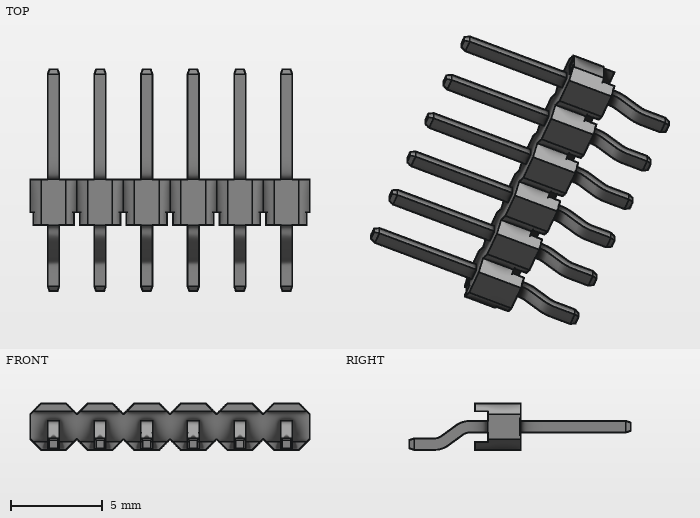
import cadquery as cq
import math

row_length = 15.24
pin_count = 6
pitch = row_length / pin_count

body_height = 2.55
body_depth = 2.5
corner_chamfer = 0.6
lip_thickness = 0.44
recess_depth = 0.7
notch_height = 0.91
notch_depth = 0.06
notch_width = 0.61

pin_size = 0.64
back_length = 6.0
front_length = 3.6
tip_length = 0.27
tip_inset = 0.099
bend_start = 0.27
bend_radius = 0.98
bend_angle = math.radians(36)

half_height = body_height / 2
half_pin = pin_size / 2
pin_centers = [(i - (pin_count - 1) / 2) * pitch for i in range(pin_count)]


def body_cell(x):
    """One octagonal insulator cell running through the body depth."""
    return (
        cq.Workplane("XZ")
        .center(x, 0)
        .rect(pitch, body_height)
        .extrude(-body_depth)
        .edges("|Y")
        .chamfer(corner_chamfer)
    )


def front_recess():
    """Channel along the front face that leaves a thin lip above and below."""
    channel_height = body_height - 2 * lip_thickness
    return cq.Workplane("XY").box(row_length, recess_depth, channel_height, centered=(True, False, True))


def end_notches():
    """Shallow notches in the back face, one open to each end of the row."""
    notch_centers = [(side * (row_length - notch_width) / 2, 0) for side in (-1, 1)]
    return (
        cq.Workplane("XZ", origin=(0, body_depth, 0))
        .pushPoints(notch_centers)
        .rect(notch_width, notch_height)
        .extrude(notch_depth)
    )


def pin_path(shaft_end, foot_end):
    """Centerline: straight shaft, downward bend, slope, reverse bend, flat foot."""
    foot_drop = half_height - half_pin
    bend_run = bend_radius * math.sin(bend_angle)
    bend_drop = bend_radius * (1 - math.cos(bend_angle))
    half_run = bend_radius * math.sin(bend_angle / 2)
    half_drop = bend_radius * (1 - math.cos(bend_angle / 2))
    slope_run = (foot_drop - 2 * bend_drop) / math.tan(bend_angle)

    slope_top_y = -bend_start - bend_run
    slope_bottom_y = slope_top_y - slope_run
    foot_start_y = slope_bottom_y - bend_run
    return (
        cq.Workplane("YZ")
        .moveTo(shaft_end, 0)
        .lineTo(-bend_start, 0)
        .threePointArc((-bend_start - half_run, -half_drop), (slope_top_y, -bend_drop))
        .lineTo(slope_bottom_y, bend_drop - foot_drop)
        .threePointArc((foot_start_y + half_run, half_drop - foot_drop), (foot_start_y, -foot_drop))
        .lineTo(foot_end, -foot_drop)
    )


def pin_tip(y, z, direction):
    """Tapered pin end that starts at y and points along direction (+1 or -1) in Y."""
    tip_size = pin_size - 2 * tip_inset
    return (
        cq.Workplane(cq.Plane(origin=(0, y, z), xDir=(1, 0, 0), normal=(0, direction, 0)))
        .rect(pin_size, pin_size)
        .workplane(offset=tip_length)
        .rect(tip_size, tip_size)
        .loft()
    )


def bent_pin():
    """Square pin centered on X = 0 with a tapered tip at each end."""
    shaft_end = body_depth + back_length - tip_length
    foot_end = tip_length - front_length
    foot_z = half_pin - half_height
    bar = (
        cq.Workplane("XZ", origin=(0, shaft_end, 0))
        .rect(pin_size, pin_size)
        .sweep(pin_path(shaft_end, foot_end))
    )
    return bar.union(pin_tip(shaft_end, 0, 1)).union(pin_tip(foot_end, foot_z, -1))


body = body_cell(pin_centers[0])
for center in pin_centers[1:]:
    body = body.union(body_cell(center))
body = body.cut(front_recess()).cut(end_notches())

pin = bent_pin()
result = body
for center in pin_centers:
    result = result.union(pin.translate((center, 0, 0)))